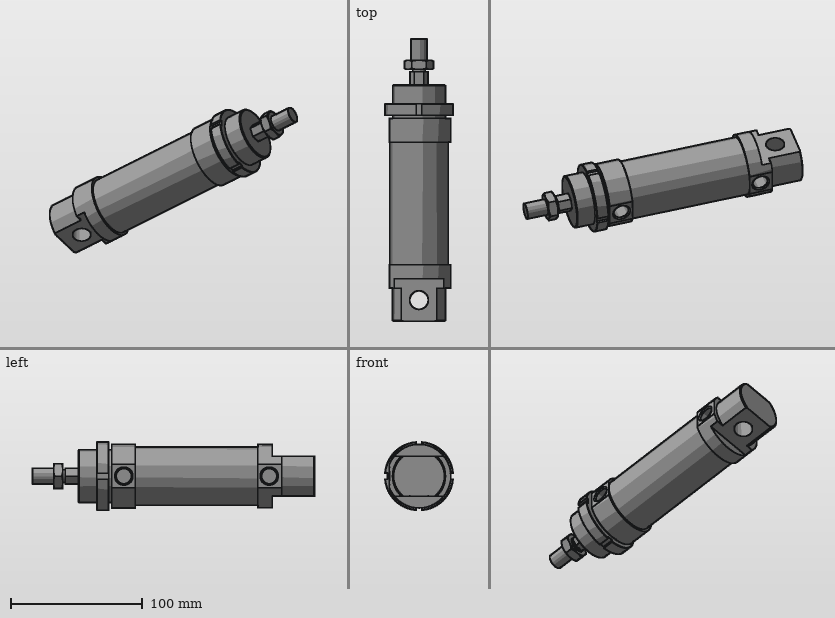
import cadquery as cq
import math

LENGTH = 214.0

CAP_REAR_Y = 25.0
SHOULDER_Y = 32.0
CAP_FRONT_Y = 43.0
HEAD_REAR_Y = 135.9
HEAD_FRONT_Y = 153.9
COLLAR_FRONT_Y = 179.1

COLLAR_RADIUS = 20.1
TAIL_RADIUS = COLLAR_RADIUS
CAP_RADIUS = 24.2
HEAD_RADIUS = CAP_RADIUS
TUBE_RADIUS = 22.3
END_CHAMFER_RADIAL = 0.9
END_CHAMFER_LENGTH = 0.6

TAIL_THICKNESS = 30.2
PIVOT_DIAMETER = 14.0
PIVOT_Y = 16.0

PORT_FLAT_X = -22.5
PORT_DIAMETER = 11.5
PORT_CHAMFER = 1.0
PORT_DEPTH = 12.8
FRONT_PORT_Y = 144.7
REAR_PORT_Y = 34.5

RING_DIAMETER = 52.0
RING_RADIUS = RING_DIAMETER / 2
RING_REAR_Y = 156.0
RING_THICKNESS = 9.0
RING_CHAMFER = 0.32
RING_SLOT_WIDTH = 4.5
RING_SLOT_FLOOR = 24.0
RING_SLOTS = 4

ROD_HEX_FLATS = 12.0
ROD_HEX_FRONT_Y = 189.2
ROD_NECK_DIAMETER = 9.8
THREAD_DIAMETER = 12.2
ROD_TIP_CHAMFER = 0.2

NUT_REAR_Y = 190.9
NUT_THICKNESS = 7.0
NUT_FLATS = 19.0
NUT_CHAMFER_ANGLE = 30.0


def cylinder(radius, rear_y, front_y):
    """Solid cylinder on the Y axis between two stations."""
    start = cq.Vector(0, rear_y, 0)
    return cq.Workplane(cq.Solid.makeCylinder(radius, front_y - rear_y, start, cq.Vector(0, 1, 0)))


def hexagon(across_flats, rear_y, front_y):
    """Hexagonal bar on the Y axis with its corners pointing along +X and -X."""
    across_corners = across_flats / math.cos(math.radians(30))
    bar = cq.Workplane("XZ", origin=(0, front_y, 0)).polygon(6, across_corners)
    return bar.extrude(front_y - rear_y)


def turned_housing():
    """Stepped revolved shape of tail, rear cap, tube, head and collar."""
    end_radius = TAIL_RADIUS - END_CHAMFER_RADIAL
    profile = [
        (0, 0),
        (end_radius, 0),
        (TAIL_RADIUS, END_CHAMFER_LENGTH),
        (TAIL_RADIUS, CAP_REAR_Y),
        (CAP_RADIUS, CAP_REAR_Y),
        (CAP_RADIUS, CAP_FRONT_Y),
        (TUBE_RADIUS, CAP_FRONT_Y),
        (TUBE_RADIUS, HEAD_REAR_Y),
        (HEAD_RADIUS, HEAD_REAR_Y),
        (HEAD_RADIUS, HEAD_FRONT_Y),
        (COLLAR_RADIUS, HEAD_FRONT_Y),
        (COLLAR_RADIUS, COLLAR_FRONT_Y - END_CHAMFER_LENGTH),
        (COLLAR_RADIUS - END_CHAMFER_RADIAL, COLLAR_FRONT_Y),
        (0, COLLAR_FRONT_Y),
    ]
    return cq.Workplane("XY").polyline(profile).close().revolve(360, (0, 0, 0), (0, 1, 0))


def cut_tail_flats(body):
    """Flatten the tail and the rear of the cap above and below."""
    slab = cq.Workplane("XY").box(2 * CAP_RADIUS, SHOULDER_Y, CAP_RADIUS, centered=(True, False, False))
    body = body.cut(slab.translate((0, 0, TAIL_THICKNESS / 2)))
    return body.cut(slab.translate((0, 0, -TAIL_THICKNESS / 2 - CAP_RADIUS)))


def cut_pivot_hole(body):
    """Vertical hole through the tail."""
    hole = cq.Workplane("XY").center(0, PIVOT_Y).circle(PIVOT_DIAMETER / 2)
    return body.cut(hole.extrude(TAIL_THICKNESS, both=True))


def cut_port(body, port_y, rear_y, front_y):
    """Flat on the -X side between two stations, with a chamfered blind port in it."""
    flat_depth = CAP_RADIUS + PORT_FLAT_X
    flat = cq.Workplane("XY").box(flat_depth, front_y - rear_y, 2 * CAP_RADIUS, centered=(False, False, True))
    body = body.cut(flat.translate((-CAP_RADIUS, rear_y, 0)))

    mouth = cq.Vector(PORT_FLAT_X, port_y, 0)
    inward = cq.Vector(1, 0, 0)
    radius = PORT_DIAMETER / 2
    bore = cq.Solid.makeCylinder(radius, PORT_DEPTH, mouth, inward)
    countersink = cq.Solid.makeCone(radius + PORT_CHAMFER, radius, PORT_CHAMFER, mouth, inward)
    return body.cut(cq.Workplane(bore)).cut(cq.Workplane(countersink))


def make_housing():
    body = cut_tail_flats(turned_housing())
    body = cut_pivot_hole(body)
    body = cut_port(body, REAR_PORT_Y, CAP_REAR_Y, CAP_FRONT_Y)
    return cut_port(body, FRONT_PORT_Y, HEAD_REAR_Y, HEAD_FRONT_Y)


def make_ring_nut():
    """Round nut on the collar with slots across its rim."""
    front_y = RING_REAR_Y + RING_THICKNESS
    ring = cylinder(RING_RADIUS, RING_REAR_Y, front_y).edges().chamfer(RING_CHAMFER)
    ring = ring.cut(cylinder(COLLAR_RADIUS, RING_REAR_Y, front_y))
    slot = cq.Workplane("XY").box(RING_RADIUS, RING_THICKNESS, RING_SLOT_WIDTH, centered=(False, False, True))
    slot = slot.translate((RING_SLOT_FLOOR, RING_REAR_Y, 0))
    for index in range(RING_SLOTS):
        ring = ring.cut(slot.rotate((0, 0, 0), (0, 1, 0), index * 360 / RING_SLOTS))
    return ring


def make_rod():
    """Rod from the collar face outward: hexagon, neck, then thread."""
    wrench_hex = hexagon(ROD_HEX_FLATS, COLLAR_FRONT_Y, ROD_HEX_FRONT_Y)
    neck = cylinder(ROD_NECK_DIAMETER / 2, ROD_HEX_FRONT_Y, NUT_REAR_Y)
    thread = cylinder(THREAD_DIAMETER / 2, NUT_REAR_Y, LENGTH).faces(">Y").chamfer(ROD_TIP_CHAMFER)
    return wrench_hex.union(neck).union(thread)


def make_lock_nut():
    """Hexagonal nut with conical chamfers on the corners of both faces."""
    front_y = NUT_REAR_Y + NUT_THICKNESS
    face_radius = NUT_FLATS / 2
    corner_radius = face_radius / math.cos(math.radians(30))
    chamfer_length = (corner_radius - face_radius) * math.tan(math.radians(NUT_CHAMFER_ANGLE))
    turned_profile = [
        (0, NUT_REAR_Y),
        (face_radius, NUT_REAR_Y),
        (corner_radius, NUT_REAR_Y + chamfer_length),
        (corner_radius, front_y - chamfer_length),
        (face_radius, front_y),
        (0, front_y),
    ]
    turned = cq.Workplane("XY").polyline(turned_profile).close().revolve(360, (0, 0, 0), (0, 1, 0))
    nut = hexagon(NUT_FLATS, NUT_REAR_Y, front_y).intersect(turned)
    return nut.cut(cylinder(THREAD_DIAMETER / 2, NUT_REAR_Y, front_y))


housing = make_housing()
ring_nut = make_ring_nut()
rod = make_rod()
lock_nut = make_lock_nut()

result = cq.Compound.makeCompound([housing.val(), ring_nut.val(), rod.val(), lock_nut.val()])